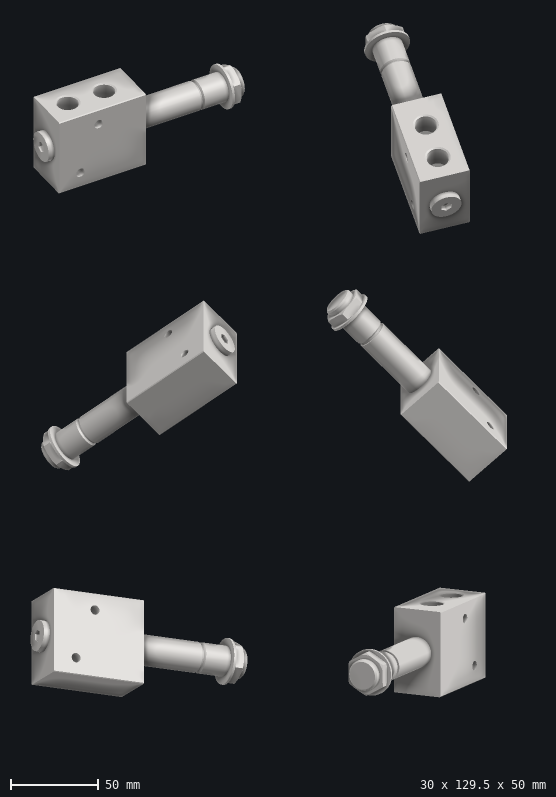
import cadquery as cq
import math

block_width = 30.0
block_length = 57.0
block_height = 50.0
block_edge_chamfer = 0.5

cartridge_diameter = 18.0
bore_recess_diameter = 19.0
bore_recess_depth = 0.5

port_positions_y = (14.0, 38.0)
port_mouth_diameter = 14.9
port_thread_diameter = 12.9
port_countersink_slope = 30.0
port_taper = 1 / 16
port_depth = 14.0

mounting_hole_diameter = 5.6
mounting_holes_yz = ((26.0, 15.0), (14.0, -15.0))

plug_length = 3.5
tube_end_y = 126.0
tube_end_chamfer = 0.95

socket_across_flats = 6.0
socket_depth = 3.5

groove_diameter = 16.06
groove_front_y = 97.1
groove_back_y = 99.4

flange_diameter = 27.0
flange_front_y = 115.0
flange_thickness = 1.5
nut_across_flats = 22.0
nut_height = 5.7
nut_face_diameter = 22.8
nut_chamfer_angle = 30.0


def turned_about_y(profile):
    """Solid of revolution about the Y axis from (radius, y) points."""
    return cq.Workplane("XY").polyline(profile).close().revolve(360, (0, 0, 0), (0, 1, 0))


def cylinder_y(diameter, start_y, end_y):
    radius = diameter / 2
    return turned_about_y([(0, start_y), (radius, start_y), (radius, end_y), (0, end_y)])


def hexagon_y(across_flats, start_y, end_y):
    """Hexagonal prism along Y with two of its corners on the Z axis."""
    across_corners = across_flats / math.cos(math.radians(30))
    return (
        cq.Workplane("XZ", origin=(0, start_y, 0))
        .transformed(rotate=(0, 0, 90))
        .polygon(6, across_corners)
        .extrude(start_y - end_y)
    )


def port_cutter(y):
    """Blind tapered port with a countersunk mouth."""
    mouth_radius = port_mouth_diameter / 2
    thread_radius = port_thread_diameter / 2
    countersink_depth = (mouth_radius - thread_radius) * math.tan(math.radians(port_countersink_slope))
    floor_radius = thread_radius - (port_depth - countersink_depth) * port_taper / 2
    profile = [
        (0, 0),
        (mouth_radius, 0),
        (thread_radius, -countersink_depth),
        (floor_radius, -port_depth),
        (0, -port_depth),
    ]
    cutter = cq.Workplane("XZ").polyline(profile).close().revolve(360, (0, 0, 0), (0, 1, 0))
    return cutter.translate((0, y, block_height / 2))


def make_block():
    block = cq.Workplane("XY").box(block_width, block_length, block_height)
    block = block.edges("|Y").chamfer(block_edge_chamfer)
    block = block.translate((0, block_length / 2, 0))

    block = block.cut(cylinder_y(cartridge_diameter, 0, block_length))
    block = block.cut(cylinder_y(bore_recess_diameter, 0, bore_recess_depth))

    for y in port_positions_y:
        block = block.cut(port_cutter(y))

    mounting_holes = (
        cq.Workplane("YZ", origin=(-block_width / 2, 0, 0))
        .pushPoints(mounting_holes_yz)
        .circle(mounting_hole_diameter / 2)
        .extrude(block_width)
    )
    return block.cut(mounting_holes)


def make_nut():
    """Hexagon nut, corners chamfered on both faces, on a round flange."""
    hex_front_y = flange_front_y + flange_thickness
    hex_back_y = hex_front_y + nut_height
    hexagon = hexagon_y(nut_across_flats, hex_front_y, hex_back_y)

    face_radius = nut_face_diameter / 2
    middle_y = (hex_front_y + hex_back_y) / 2
    middle_radius = face_radius + nut_height / 2 / math.tan(math.radians(nut_chamfer_angle))
    corner_limit = turned_about_y([
        (0, hex_front_y),
        (face_radius, hex_front_y),
        (middle_radius, middle_y),
        (face_radius, hex_back_y),
        (0, hex_back_y),
    ])
    flange = cylinder_y(flange_diameter, flange_front_y, hex_front_y)
    return hexagon.intersect(corner_limit).union(flange)


def make_cartridge():
    radius = cartridge_diameter / 2
    groove_radius = groove_diameter / 2
    groove_slope = radius - groove_radius
    stem = turned_about_y([
        (0, -plug_length),
        (radius, -plug_length),
        (radius, groove_front_y),
        (groove_radius, groove_front_y),
        (groove_radius, groove_back_y - groove_slope),
        (radius, groove_back_y),
        (radius, tube_end_y - tube_end_chamfer),
        (radius - tube_end_chamfer, tube_end_y),
        (0, tube_end_y),
    ])
    socket = hexagon_y(socket_across_flats, -plug_length, socket_depth - plug_length)
    return stem.cut(socket).union(make_nut())


block = make_block()
cartridge = make_cartridge()

result = cq.Compound.makeCompound([block.val(), cartridge.val()])